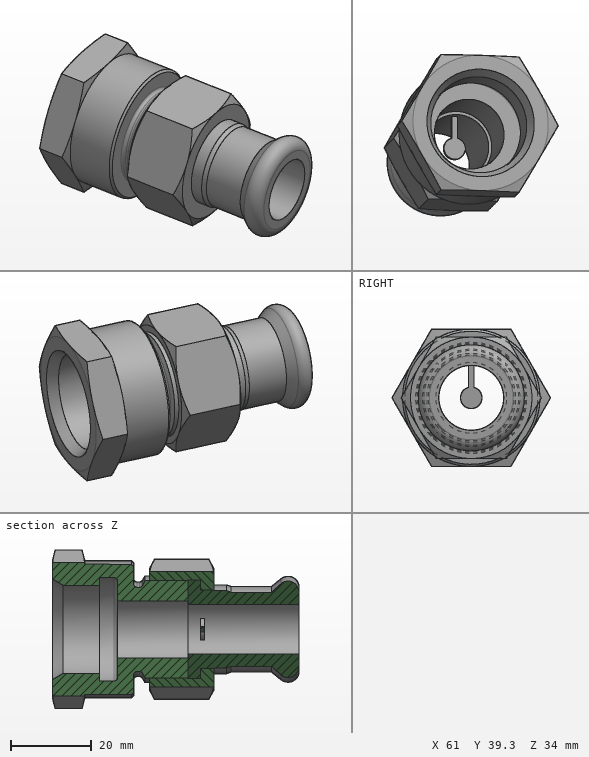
import cadquery as cq
import math

TOTAL_LENGTH = 61.0

INLET_HEX_FLATS = 34.0
INLET_HEX_LENGTH = 8.05
INLET_HEX_CHAMFER_ANGLE = 15.0
BARREL_END = 20.1
BARREL_CHAMFER = 0.55
SOCKET_DIAMETER = 24.1
SOCKET_MOUTH_DIAMETER = 26.95
SOCKET_MOUTH_DEPTH = 2.6
SOCKET_DEPTH = 11.7
RELIEF_DIAMETER = 27.5
RELIEF_END = 16.1
RELIEF_FILLET = 0.85
INLET_BORE_DIAMETER = 17.5
NECK_DIAMETER = 23.4
NECK_FILLET = 0.85
NECK_START = BARREL_END + NECK_FILLET
NECK_END = 21.55
THREAD_DIAMETER = 26.4
THREAD_LEAD_ANGLE = 60.0

NUT_HEX_FLATS = 30.0
NUT_START = 24.0
NUT_LENGTH = 16.0
NUT_CHAMFER_ANGLE = 28.5
NUT_WALL = 3.35
NUT_END = NUT_START + NUT_LENGTH
NUT_SEAT = NUT_END - NUT_WALL

COLLAR_LENGTH = 3.05
JOINT_X = NUT_SEAT - COLLAR_LENGTH
SHANK_DIAMETER = 22.0
SHANK_END = 43.0
TUBE_DIAMETER = 21.2
TUBE_START = 44.15
BEAD_START = 54.15
BEAD_DIAMETER = 26.2
BEAD_RADIUS = 2.75
TUBE_BORE_DIAMETER = 16.0

DISC_DIAMETER = 5.35
STEM_WIDTH = 1.4
PADDLE_THICKNESS = 1.0


def revolve_about_x(profile):
    """Revolve a closed (x, radius) profile about the X axis."""
    return profile.close().revolve(360, (0, 0, 0), (1, 0, 0))


def cylinder(diameter, start, end):
    return cq.Workplane("YZ", origin=(start, 0, 0)).circle(diameter / 2).extrude(end - start)


def chamfered_hex(flats, start, length, chamfer_angle):
    """Hexagon with corners on Y, both ends cut by a cone meeting the face at the flats."""
    corner_radius = flats / math.sqrt(3)
    face_radius = flats / 2
    chamfer_length = (corner_radius - face_radius) * math.tan(math.radians(chamfer_angle))
    end = start + length
    prism = cq.Workplane("YZ", origin=(start, 0, 0)).polygon(6, 2 * corner_radius).extrude(length)
    envelope = revolve_about_x(
        cq.Workplane("XY")
        .moveTo(start, 0)
        .lineTo(start, face_radius)
        .lineTo(start + chamfer_length, corner_radius)
        .lineTo(end - chamfer_length, corner_radius)
        .lineTo(end, face_radius)
        .lineTo(end, 0)
    )
    return prism.intersect(envelope)


def make_inlet_body():
    barrel_radius = INLET_HEX_FLATS / 2
    neck_radius = NECK_DIAMETER / 2
    thread_radius = THREAD_DIAMETER / 2
    fillet_r = neck_radius + NECK_FILLET
    root_half_angle = math.radians(45)
    lead = math.radians(THREAD_LEAD_ANGLE)

    lead_x = NECK_END + NECK_FILLET * math.sin(lead)
    lead_r = fillet_r - NECK_FILLET * math.cos(lead)
    thread_start = lead_x + (thread_radius - lead_r) / math.tan(lead)
    lead_middle = (
        NECK_END + NECK_FILLET * math.sin(lead / 2),
        fillet_r - NECK_FILLET * math.cos(lead / 2),
    )
    root_middle = (
        NECK_START - NECK_FILLET * math.sin(root_half_angle),
        fillet_r - NECK_FILLET * math.cos(root_half_angle),
    )

    turned = revolve_about_x(
        cq.Workplane("XY")
        .moveTo(INLET_HEX_LENGTH / 2, 0)
        .lineTo(INLET_HEX_LENGTH / 2, barrel_radius)
        .lineTo(BARREL_END - BARREL_CHAMFER, barrel_radius)
        .lineTo(BARREL_END, barrel_radius - BARREL_CHAMFER)
        .lineTo(BARREL_END, fillet_r)
        .threePointArc(root_middle, (NECK_START, neck_radius))
        .lineTo(NECK_END, neck_radius)
        .threePointArc(lead_middle, (lead_x, lead_r))
        .lineTo(thread_start, thread_radius)
        .lineTo(JOINT_X, thread_radius)
        .lineTo(JOINT_X, 0)
    )
    socket = revolve_about_x(
        cq.Workplane("XY")
        .moveTo(0, 0)
        .lineTo(0, SOCKET_MOUTH_DIAMETER / 2)
        .lineTo(SOCKET_MOUTH_DEPTH, SOCKET_DIAMETER / 2)
        .lineTo(SOCKET_DEPTH, SOCKET_DIAMETER / 2)
        .lineTo(SOCKET_DEPTH, 0)
    )
    relief = cylinder(RELIEF_DIAMETER, SOCKET_DEPTH, RELIEF_END).faces(">X").edges().fillet(RELIEF_FILLET)
    hexagon = chamfered_hex(INLET_HEX_FLATS, 0, INLET_HEX_LENGTH, INLET_HEX_CHAMFER_ANGLE)
    bore = cylinder(INLET_BORE_DIAMETER, 0, JOINT_X)
    return hexagon.union(turned).cut(socket).cut(relief).cut(bore)


def make_union_nut():
    hexagon = chamfered_hex(NUT_HEX_FLATS, NUT_START, NUT_LENGTH, NUT_CHAMFER_ANGLE)
    thread_bore = cylinder(THREAD_DIAMETER, NUT_START, NUT_SEAT)
    shank_hole = cylinder(SHANK_DIAMETER, NUT_SEAT, NUT_END)
    return hexagon.cut(thread_bore).cut(shank_hole)


def make_paddle():
    """Disc on the axis, held by a stem that runs up into the tube wall."""
    wall_middle = (TUBE_BORE_DIAMETER + TUBE_DIAMETER) / 4
    disc = cylinder(DISC_DIAMETER, NUT_SEAT, NUT_SEAT + PADDLE_THICKNESS)
    stem = cq.Workplane("XY", origin=(NUT_SEAT, 0, 0)).box(
        PADDLE_THICKNESS, STEM_WIDTH, wall_middle, centered=(False, True, False)
    )
    return disc.union(stem)


def make_tailpiece():
    tube_radius = TUBE_DIAMETER / 2
    bead_x = TOTAL_LENGTH - BEAD_RADIUS
    bead_r = BEAD_DIAMETER / 2 - BEAD_RADIUS

    run = bead_x - BEAD_START
    drop = tube_radius - bead_r
    reach = math.hypot(run, drop)
    normal_angle = math.atan2(drop, -run) - math.acos(BEAD_RADIUS / reach)
    half_angle = normal_angle / 2
    flare_end = (
        bead_x + BEAD_RADIUS * math.cos(normal_angle),
        bead_r + BEAD_RADIUS * math.sin(normal_angle),
    )
    bead_middle = (
        bead_x + BEAD_RADIUS * math.cos(half_angle),
        bead_r + BEAD_RADIUS * math.sin(half_angle),
    )

    turned = revolve_about_x(
        cq.Workplane("XY")
        .moveTo(JOINT_X, 0)
        .lineTo(JOINT_X, THREAD_DIAMETER / 2)
        .lineTo(NUT_SEAT, THREAD_DIAMETER / 2)
        .lineTo(NUT_SEAT, SHANK_DIAMETER / 2)
        .lineTo(SHANK_END, SHANK_DIAMETER / 2)
        .lineTo(TUBE_START, tube_radius)
        .lineTo(BEAD_START, tube_radius)
        .lineTo(*flare_end)
        .threePointArc(bead_middle, (TOTAL_LENGTH, bead_r))
        .lineTo(TOTAL_LENGTH, 0)
    )
    bore = cylinder(TUBE_BORE_DIAMETER, JOINT_X, TOTAL_LENGTH)
    return turned.cut(bore).union(make_paddle())


inlet_body = make_inlet_body()
union_nut = make_union_nut()
tailpiece = make_tailpiece()

result = cq.Compound.makeCompound([inlet_body.val(), union_nut.val(), tailpiece.val()])